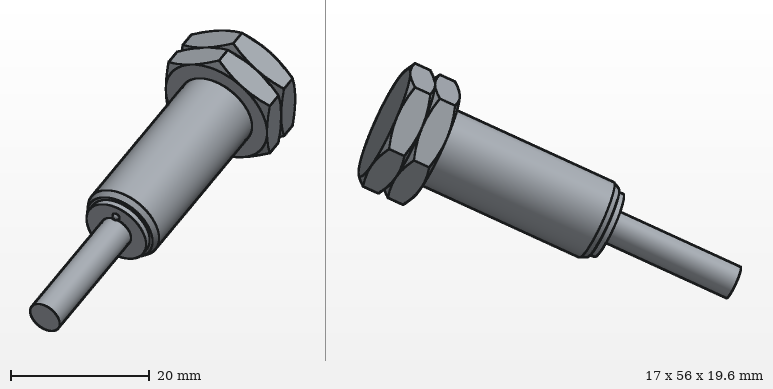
import cadquery as cq
import math

total_length = 56.0

nut_flats = 17.0
nut_corners = nut_flats / math.cos(math.radians(30))
nut_thickness = 4.0
nut_count = 2
nut_chamfer_angle = 30.0

housing_diameter = 12.0
housing_front = 35.0
housing_chamfer_length = 1.0
housing_chamfer_depth = 0.5

cap_diameter = 10.0
cap_front = 36.0
cable_diameter = 5.0
light_diameter = 1.1
light_offset = 3.15


def cylinder(diameter, start, end):
    """Cylinder on the Y axis; start and end are distances from the back face."""
    return cq.Workplane("XZ").workplane(offset=start).circle(diameter / 2).extrude(end - start)


def hex_nut(start):
    """Hex nut, corners up and down, with both rims turned to a cone."""
    prism = (
        cq.Workplane("XZ")
        .workplane(offset=start)
        .polygon(6, nut_corners)
        .extrude(nut_thickness)
        .rotate((0, 0, 0), (0, 1, 0), 30)
    )
    rim_depth = (nut_corners - nut_flats) / 2
    rim_length = rim_depth * math.tan(math.radians(nut_chamfer_angle))
    blank = (
        cq.Workplane("XY")
        .moveTo(0, -start)
        .lineTo(nut_flats / 2, -start)
        .lineTo(nut_corners / 2, -start - rim_length)
        .lineTo(nut_corners / 2, -start - nut_thickness + rim_length)
        .lineTo(nut_flats / 2, -start - nut_thickness)
        .lineTo(0, -start - nut_thickness)
        .close()
        .revolve(360, (0, 0, 0), (0, 1, 0))
    )
    return prism.intersect(blank)


def housing():
    """Housing barrel with a steep chamfer at its front edge."""
    radius = housing_diameter / 2
    return (
        cq.Workplane("XY")
        .lineTo(radius, 0)
        .lineTo(radius, -housing_front + housing_chamfer_length)
        .lineTo(radius - housing_chamfer_depth, -housing_front)
        .lineTo(0, -housing_front)
        .close()
        .revolve(360, (0, 0, 0), (0, 1, 0))
    )


def indicator_light():
    """Small dome half sunk into the front of the end cap."""
    return cq.Workplane("XY").sphere(light_diameter / 2).translate((0, -cap_front, light_offset))


result = housing()
for index in range(nut_count):
    result = result.union(hex_nut(index * nut_thickness))
result = result.union(cylinder(cap_diameter, 0, cap_front))
result = result.union(cylinder(cable_diameter, 0, total_length))
result = result.union(indicator_light())